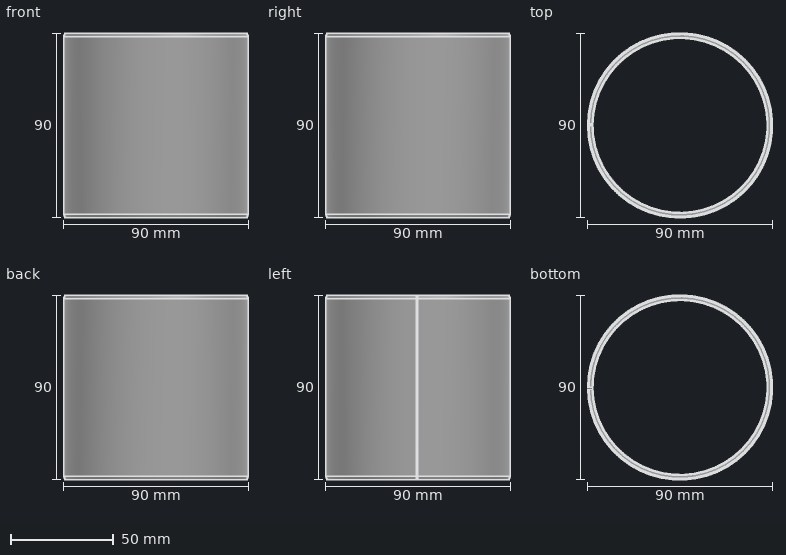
import cadquery as cq

outer_diameter = 90.0
length = 90.0
wall = 2.5
outer_chamfer_depth = 0.6
outer_chamfer_height = 1.8
inner_chamfer = 0.4
slit_angle = 1.0

outer_radius = outer_diameter / 2
inner_radius = outer_radius - wall
half_length = length / 2


def make_sleeve():
    """Revolve the wall section, chamfered at all four rims, about Z, stopping short to leave the slit."""
    return (
        cq.Workplane("XZ")
        .moveTo(inner_radius, -half_length + inner_chamfer)
        .lineTo(inner_radius + inner_chamfer, -half_length)
        .lineTo(outer_radius - outer_chamfer_depth, -half_length)
        .lineTo(outer_radius, -half_length + outer_chamfer_height)
        .lineTo(outer_radius, half_length - outer_chamfer_height)
        .lineTo(outer_radius - outer_chamfer_depth, half_length)
        .lineTo(inner_radius + inner_chamfer, half_length)
        .lineTo(inner_radius, half_length - inner_chamfer)
        .close()
        .revolve(360 - slit_angle, (0, 0, 0), (0, 1, 0))
        .rotate((0, 0, 0), (0, 0, 1), 180)
    )


result = make_sleeve()